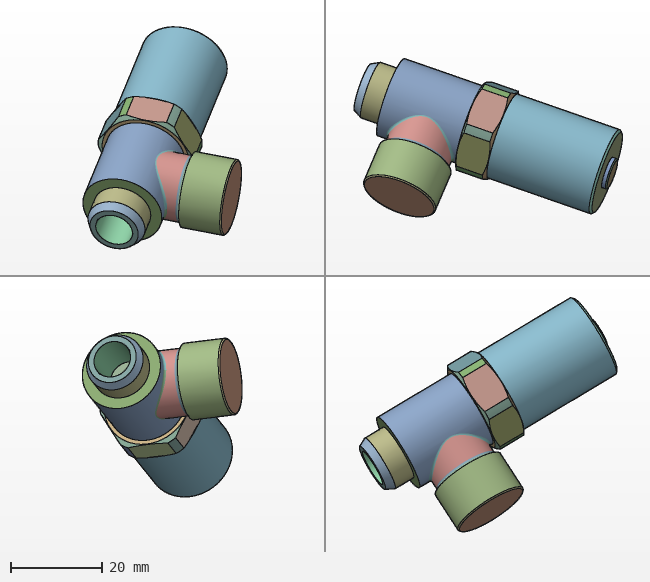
import cadquery as cq
import math

tip_radius = 5.5
spigot_radius = 6.5
tip_chamfer_length = 1.9
spigot_length = 6.65
body_radius = 9.0
bore_radius = 4.2
bore_depth = 12.0

hex_start = 25.55
hex_end = 32.95
hex_across_flats = 20.0
hex_corner_radius = 11.0
hex_face_radius = 9.9
hex_chamfer_angle = 30.0

sleeve_radius = 9.8
sleeve_end = 57.5
sleeve_chamfer = 0.5
button_radius = 3.55
button_chamfer = 0.3
overall_length = 58.7

branch_y = 17.0
neck_radius = 7.5
neck_fillet = 0.5
collar_radius = 8.5
neck_end = 11.4
collar_end = 21.99
collar_chamfer = 0.3
collar_cone_angle = 60.0
collar_root_fillet = 0.6


def turn_about_y(profile):
    """Revolve a closed (radius, y) outline about the Y axis."""
    return cq.Workplane("XY").polyline(profile).close().revolve(360, (0, 0, 0), (0, 1, 0))


def make_body():
    return turn_about_y([
        (0, 0),
        (tip_radius, 0),
        (spigot_radius, tip_chamfer_length),
        (spigot_radius, spigot_length),
        (body_radius, spigot_length),
        (body_radius, hex_end),
        (0, hex_end),
    ])


def make_branch():
    """Neck and collar, joined by a concave fillet tangent to a steep cone."""
    neck_y = branch_y + neck_radius
    collar_y = branch_y + collar_radius
    cone_angle = math.radians(collar_cone_angle)

    def fillet_point(angle):
        """Point on the root fillet where its tangent is tilted by angle from the neck."""
        x = neck_end + collar_root_fillet * math.sin(angle)
        y = neck_y + collar_root_fillet * (1 - math.cos(angle))
        return x, y

    cone_x, cone_y = fillet_point(cone_angle)
    collar_start = cone_x + (collar_y - cone_y) / math.tan(cone_angle)
    outline = (
        cq.Workplane("XY")
        .moveTo(0, branch_y)
        .lineTo(0, neck_y)
        .lineTo(neck_end, neck_y)
        .threePointArc(fillet_point(cone_angle / 2), (cone_x, cone_y))
        .lineTo(collar_start, collar_y)
        .lineTo(collar_end - collar_chamfer, collar_y)
        .lineTo(collar_end, collar_y - collar_chamfer)
        .lineTo(collar_end, branch_y)
        .close()
    )
    return outline.revolve(360, (0, branch_y, 0), (1, branch_y, 0))


def make_hexagon():
    """Hexagon with flats facing +Z and -Z, cut by a chamfered turned blank."""
    across_corners = hex_across_flats / math.cos(math.pi / 6)
    prism = (
        cq.Workplane("XZ", origin=(0, hex_end, 0))
        .polygon(6, across_corners).extrude(hex_end - hex_start)
    )
    chamfer_depth = hex_corner_radius - hex_face_radius
    chamfer_length = chamfer_depth * math.tan(math.radians(hex_chamfer_angle))
    blank = turn_about_y([
        (0, hex_start),
        (hex_face_radius, hex_start),
        (hex_corner_radius, hex_start + chamfer_length),
        (hex_corner_radius, hex_end - chamfer_length),
        (hex_face_radius, hex_end),
        (0, hex_end),
    ])
    return prism.intersect(blank)


def make_sleeve():
    return turn_about_y([
        (0, hex_end),
        (sleeve_radius, hex_end),
        (sleeve_radius, sleeve_end - sleeve_chamfer),
        (sleeve_radius - sleeve_chamfer, sleeve_end),
        (0, sleeve_end),
    ])


def make_button():
    return turn_about_y([
        (0, sleeve_end),
        (button_radius, sleeve_end),
        (button_radius, overall_length - button_chamfer),
        (button_radius - button_chamfer, overall_length),
        (0, overall_length),
    ])


def make_bore():
    return turn_about_y([(0, 0), (bore_radius, 0), (bore_radius, bore_depth), (0, bore_depth)])


def fillet_branch_root(solid):
    """Round the seam where the branch neck meets the body."""
    return solid.edges("not(%CIRCLE or %LINE)").fillet(neck_fillet)


tee = fillet_branch_root(make_body().union(make_branch()))
result = tee.union(make_hexagon()).union(make_sleeve()).union(make_button()).cut(make_bore())